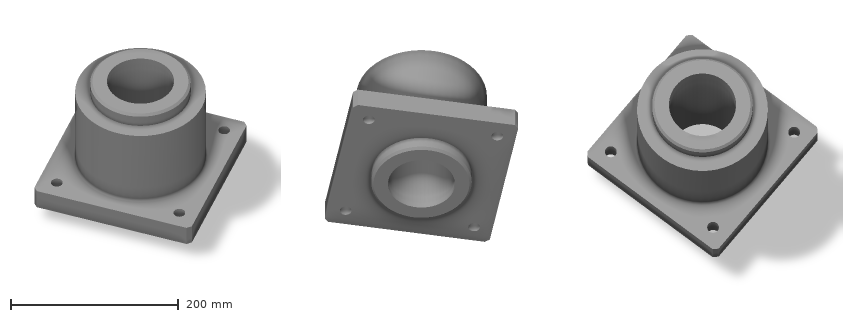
import cadquery as cq

flange_side = 200.0
flange_thickness = 26.0
flange_corner_chamfer = 5.0
bolt_spacing = 155.5
bolt_hole_diameter = 14.0

housing_diameter = 156.0
housing_height = 104.0
housing_root_fillet = 3.0

sleeve_diameter = 120.0
sleeve_length = 165.0
sleeve_edge_chamfer = 2.8
bore_diameter = 80.0
sleeve_projection = (sleeve_length - housing_height - flange_thickness) / 2
flange_bottom = sleeve_projection
flange_top = flange_bottom + flange_thickness


def make_flange():
    """Square plate with chamfered vertical corners."""
    return (
        cq.Workplane("XY", origin=(0, 0, flange_bottom))
        .rect(flange_side, flange_side)
        .extrude(flange_thickness)
        .edges("|Z")
        .chamfer(flange_corner_chamfer)
    )


def make_housing():
    """Cylinder flaring into the flange through a concave root fillet."""
    radius = housing_diameter / 2
    root_radius = radius + housing_root_fillet
    fillet_top = flange_top + housing_root_fillet
    housing_top = flange_top + housing_height
    profile = (
        cq.Workplane("XZ")
        .moveTo(0, flange_top)
        .lineTo(root_radius, flange_top)
        .radiusArc((radius, fillet_top), housing_root_fillet)
        .lineTo(radius, housing_top)
        .lineTo(0, housing_top)
        .close()
    )
    return profile.revolve(360, (0, 0, 0), (0, 1, 0))


def make_sleeve():
    """Round bar with both end edges chamfered."""
    return (
        cq.Workplane("XY")
        .circle(sleeve_diameter / 2)
        .extrude(sleeve_length)
        .faces("<Z or >Z")
        .chamfer(sleeve_edge_chamfer)
    )


def make_holes():
    """Cutters for the central bore and the four bolt holes."""
    bore = cq.Workplane("XY").circle(bore_diameter / 2).extrude(sleeve_length)
    bolts = (
        cq.Workplane("XY", origin=(0, 0, flange_bottom))
        .rect(bolt_spacing, bolt_spacing, forConstruction=True)
        .vertices()
        .circle(bolt_hole_diameter / 2)
        .extrude(flange_thickness)
    )
    return bore.add(bolts).combine()


result = make_flange().union(make_housing()).union(make_sleeve()).cut(make_holes())